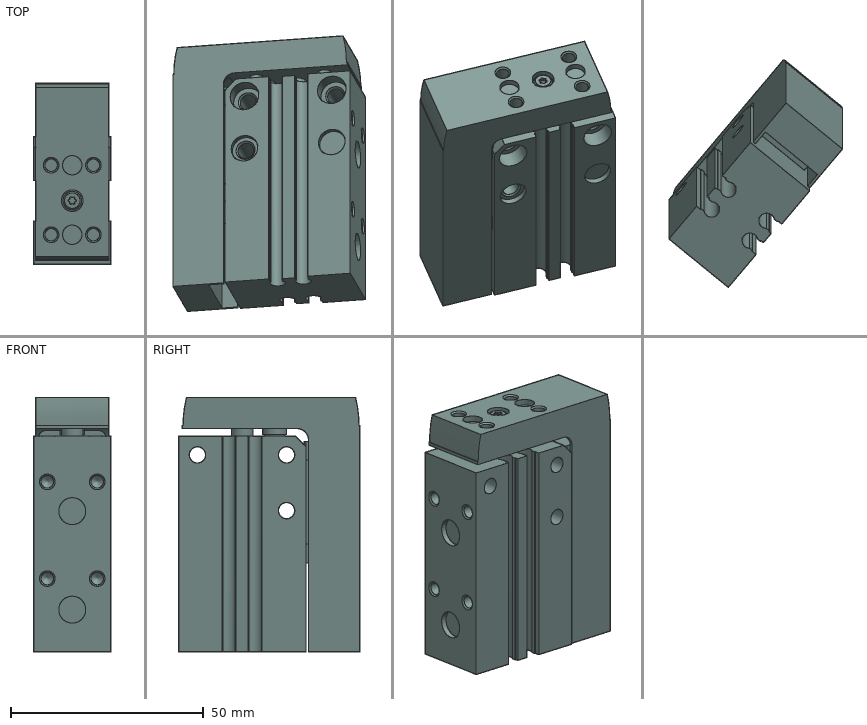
import cadquery as cq
import math


OVERALL_DEPTH = 47.0
OVERALL_HEIGHT = 66.0

HOUSING_WIDTH = 20.0
HOUSING_DEPTH = 33.05
HOUSING_HEIGHT = 56.0
HOUSING_CHAMFER = 2.8
SIDE_X = -HOUSING_WIDTH / 2

SLOT_CENTERS_Y = (19.85, 13.1)
SLOT_MOUTH_WIDTH = 3.6
SLOT_MOUTH_DEPTH = 1.3
SLOT_NECK_WIDTH = 3.2
SLOT_BORE_DIAMETER = 4.0
SLOT_BORE_DEPTH = 3.55
RIB_SETBACK = 0.5

SIDE_HOLE_FRONT_Y = 4.9
SIDE_HOLE_BACK_Y = 28.0
UPPER_HOLE_Z = 51.1
LOWER_HOLE_Z = 36.6
SIDE_HOLE_DIAMETER = 4.15
SIDE_HOLE_RIM_DIAMETER = 5.0
SCREW_SINK_DIAMETER = 7.5
SCREW_SINK_DEPTH = 4.5
LOCATING_DIAMETER = 7.0
LOCATING_DEPTH = 1.5

FRONT_HOLE_X = 6.5
FRONT_HOLE_LEVELS = (19.0, 44.1)
FRONT_RECESS_LEVELS = (10.95, 36.5)
THREAD_DIAMETER = 3.25
THREAD_RIM_DIAMETER = 4.0
THREAD_DEPTH = 6.6
DRILL_TIP_ANGLE = 118.0

GUIDE_WIDTH = 16.4
GUIDE_REACH = 4.0
GUIDE_BOTTOM_Z = 23.05
GUIDE_TOP_Z = 54.6
END_CAP_LENGTH = 4.9
END_CAP_CHAMFER = 0.5
CARRIAGE_INSET = 0.2

SLIDE_WIDTH = 19.0
SLIDE_FRONT_Y = 0.9
PLATE_THICKNESS = 8.1
LEG_INNER_Y = 33.65
INNER_FILLET = 3.0
CROWN_HEIGHT = 7.3
CROWN_STEP = 0.2
CROWN_RADIUS = 30.0
PLATE_BOTTOM_Z = OVERALL_HEIGHT - PLATE_THICKNESS
CROWN_BASE_Z = OVERALL_HEIGHT - CROWN_HEIGHT
GUIDE_BACK_Y = LEG_INNER_Y + GUIDE_REACH
POCKET_WIDTH = 17.55
POCKET_TOP_Z = 57.4
POCKET_CORNER_RADIUS = 2.0

ROD_Y = 16.5
ROD_DIAMETER = 5.6
ROD_SINK_DEPTH = 1.5
SCREW_END_DIAMETER = 4.8
SCREW_END_HEIGHT = 1.0
SCREW_END_CHAMFER = 0.4
SOCKET_DIAMETER = 1.6
SOCKET_LOBE_DIAMETER = 0.5
SOCKET_LOBES = 6
SOCKET_DEPTH = 1.0
BUMPER_Y = 24.9
BUMPER_DIAMETER = 6.3
BUMPER_HEIGHT = 1.5
BUMPER_NECK_DIAMETER = 5.5

TOP_HOLE_X = 5.5
TOP_ROWS_Y = (7.65, 25.7)
TOP_PIN_DIAMETER = 5.0
TOP_PIN_DEPTH = 1.5


def box(x_range, y_range, z_range):
    """Box between the given limits."""
    size = [high - low for low, high in (x_range, y_range, z_range)]
    corner = (x_range[0], y_range[0], z_range[0])
    return cq.Workplane("XY").box(*size, centered=False).translate(corner)


def bar(start, direction, diameter, length):
    """Round bar from a start point along a direction."""
    axis = cq.Vector(*direction)
    return cq.Workplane(obj=cq.Solid.makeCylinder(diameter / 2, length, cq.Vector(*start), axis))


def cone(start, direction, start_diameter, end_diameter, length):
    """Cone or cone frustum from a start point along a direction."""
    axis = cq.Vector(*direction)
    solid = cq.Solid.makeCone(start_diameter / 2, end_diameter / 2, length, cq.Vector(*start), axis)
    return cq.Workplane(obj=solid)


def rim_cutter(start, direction, rim_diameter, hole_diameter):
    """45 degree countersink that opens a hole up to its rim diameter."""
    return cone(start, direction, rim_diameter, hole_diameter, (rim_diameter - hole_diameter) / 2)


def drilled_thread(start, direction):
    """Blind threaded hole with a countersunk rim and a conical drill tip."""
    tip_length = THREAD_DIAMETER / 2 / math.tan(math.radians(DRILL_TIP_ANGLE / 2))
    tip_start = cq.Vector(*start) + cq.Vector(*direction) * THREAD_DEPTH
    cutter = bar(start, direction, THREAD_DIAMETER, THREAD_DEPTH)
    cutter = cutter.union(cone(tip_start.toTuple(), direction, THREAD_DIAMETER, 0, tip_length))
    return cutter.union(rim_cutter(start, direction, THREAD_RIM_DIAMETER, THREAD_DIAMETER))


def housing_block():
    """Plain housing with its upper back edge chamfered."""
    block = box((SIDE_X, -SIDE_X), (0, HOUSING_DEPTH), (0, HOUSING_HEIGHT))
    return block.edges(">Y and >Z").chamfer(HOUSING_CHAMFER)


def sensor_slot(slot_y):
    """Slot cutter on the -X side: wide mouth, narrower neck and round bore along Z."""
    bore_x = SIDE_X + SLOT_BORE_DEPTH
    z_range = (0, HOUSING_HEIGHT)
    mouth_sides = (slot_y - SLOT_MOUTH_WIDTH / 2, slot_y + SLOT_MOUTH_WIDTH / 2)
    neck_sides = (slot_y - SLOT_NECK_WIDTH / 2, slot_y + SLOT_NECK_WIDTH / 2)
    cutter = box((SIDE_X, SIDE_X + SLOT_MOUTH_DEPTH), mouth_sides, z_range)
    cutter = cutter.union(box((SIDE_X, bore_x), neck_sides, z_range))
    return cutter.union(bar((bore_x, slot_y, 0), (0, 0, 1), SLOT_BORE_DIAMETER, HOUSING_HEIGHT))


def cut_sensor_slots(block):
    """Two slots and the set-back rib between them, the same on both X sides."""
    rib_sides = (min(SLOT_CENTERS_Y), max(SLOT_CENTERS_Y))
    cutter = box((SIDE_X, SIDE_X + RIB_SETBACK), rib_sides, (0, HOUSING_HEIGHT))
    for slot_y in SLOT_CENTERS_Y:
        cutter = cutter.union(sensor_slot(slot_y))
    return block.cut(cutter).cut(cutter.mirror("YZ"))


def side_hole(hole_y, hole_z, sink_diameter, sink_depth):
    """Hole through the full width, sunk from the -X side."""
    inward = (1, 0, 0)
    mouth = (SIDE_X, hole_y, hole_z)
    floor = (SIDE_X + sink_depth, hole_y, hole_z)
    cutter = bar(mouth, inward, SIDE_HOLE_DIAMETER, HOUSING_WIDTH)
    cutter = cutter.union(rim_cutter(floor, inward, SIDE_HOLE_RIM_DIAMETER, SIDE_HOLE_DIAMETER))
    return cutter.union(bar(mouth, inward, sink_diameter, sink_depth))


def cut_side_holes(block):
    """Two deep-sunk screw holes, one locating hole and one blind locating recess."""
    for hole_y in (SIDE_HOLE_FRONT_Y, SIDE_HOLE_BACK_Y):
        block = block.cut(side_hole(hole_y, UPPER_HOLE_Z, SCREW_SINK_DIAMETER, SCREW_SINK_DEPTH))
    block = block.cut(side_hole(SIDE_HOLE_BACK_Y, LOWER_HOLE_Z, LOCATING_DIAMETER, LOCATING_DEPTH))
    recess_mouth = (SIDE_X, SIDE_HOLE_FRONT_Y, LOWER_HOLE_Z)
    return block.cut(bar(recess_mouth, (1, 0, 0), LOCATING_DIAMETER, LOCATING_DEPTH))


def cut_front_holes(block):
    """Four threaded holes and two locating recesses in the front face."""
    inward = (0, 1, 0)
    for hole_z in FRONT_HOLE_LEVELS:
        for hole_x in (-FRONT_HOLE_X, FRONT_HOLE_X):
            block = block.cut(drilled_thread((hole_x, 0, hole_z), inward))
    for recess_z in FRONT_RECESS_LEVELS:
        block = block.cut(bar((0, 0, recess_z), inward, LOCATING_DIAMETER, LOCATING_DEPTH))
    return block


def guide_end_cap(bottom_z):
    """Guide end cap with chamfered corners toward the housing."""
    half_width = GUIDE_WIDTH / 2
    cap_front_y = HOUSING_DEPTH - END_CAP_CHAMFER
    z_range = (bottom_z, bottom_z + END_CAP_LENGTH)
    cap = box((-half_width, half_width), (cap_front_y, GUIDE_BACK_Y), z_range)
    return cap.edges("|Z and <Y").chamfer(END_CAP_CHAMFER)


def guide_block():
    """Guide carriage between two slightly wider end caps."""
    half_width = GUIDE_WIDTH / 2 - CARRIAGE_INSET
    upper_cap_z = GUIDE_TOP_Z - END_CAP_LENGTH
    z_range = (GUIDE_BOTTOM_Z + END_CAP_LENGTH, upper_cap_z)
    carriage = box((-half_width, half_width), (HOUSING_DEPTH, GUIDE_BACK_Y), z_range)
    for bottom_z in (GUIDE_BOTTOM_Z, upper_cap_z):
        carriage = carriage.union(guide_end_cap(bottom_z))
    return carriage


def make_housing():
    """Housing body with slots, holes and its guide block."""
    block = cut_sensor_slots(housing_block())
    block = cut_side_holes(block)
    block = cut_front_holes(block)
    return block.union(guide_block())


def slide_profile():
    """L-shaped plate and leg, with both ends of the plate crowned."""
    front_y = SLIDE_FRONT_Y + CROWN_STEP
    back_y = OVERALL_DEPTH - CROWN_STEP

    def crown_inset(height):
        return CROWN_RADIUS - math.sqrt(CROWN_RADIUS**2 - height**2)

    top_inset = crown_inset(CROWN_HEIGHT)
    middle_inset = crown_inset(CROWN_HEIGHT / 2)
    middle_z = CROWN_BASE_Z + CROWN_HEIGHT / 2
    outline = (
        cq.Workplane("YZ", origin=(-SLIDE_WIDTH / 2, 0, 0))
        .moveTo(LEG_INNER_Y, 0)
        .lineTo(OVERALL_DEPTH, 0)
        .lineTo(OVERALL_DEPTH, CROWN_BASE_Z)
        .lineTo(back_y, CROWN_BASE_Z)
        .threePointArc((back_y - middle_inset, middle_z), (back_y - top_inset, OVERALL_HEIGHT))
        .lineTo(front_y + top_inset, OVERALL_HEIGHT)
        .threePointArc((front_y + middle_inset, middle_z), (front_y, CROWN_BASE_Z))
        .lineTo(SLIDE_FRONT_Y, CROWN_BASE_Z)
        .lineTo(SLIDE_FRONT_Y, PLATE_BOTTOM_Z)
        .lineTo(LEG_INNER_Y - INNER_FILLET, PLATE_BOTTOM_Z)
        .radiusArc((LEG_INNER_Y, PLATE_BOTTOM_Z - INNER_FILLET), INNER_FILLET)
        .close()
    )
    return outline.extrude(SLIDE_WIDTH)


def cut_guide_pocket(slide):
    """Pocket for the guide block, open at the bottom and rounded at its upper corners."""
    half_width = POCKET_WIDTH / 2
    pocket_front_y = LEG_INNER_Y - INNER_FILLET
    pocket = box((-half_width, half_width), (pocket_front_y, GUIDE_BACK_Y), (0, POCKET_TOP_Z))
    return slide.cut(pocket.edges("|Y and >Z").fillet(POCKET_CORNER_RADIUS))


def cut_top_holes(slide):
    """Two rows across the plate: a pin recess between two countersunk through holes."""
    downward = (0, 0, -1)
    for row_y in TOP_ROWS_Y:
        for hole_x in (-TOP_HOLE_X, TOP_HOLE_X):
            mouth = (hole_x, row_y, OVERALL_HEIGHT)
            slide = slide.cut(bar(mouth, downward, THREAD_DIAMETER, PLATE_THICKNESS))
            slide = slide.cut(rim_cutter(mouth, downward, THREAD_RIM_DIAMETER, THREAD_DIAMETER))
        slide = slide.cut(bar((0, row_y, OVERALL_HEIGHT), downward, TOP_PIN_DIAMETER, TOP_PIN_DEPTH))
    return slide


def socket_cutter(top_z):
    """Six-lobed driver socket."""
    downward = (0, 0, -1)
    cutter = bar((0, ROD_Y, top_z), downward, SOCKET_DIAMETER, SOCKET_DEPTH)
    for lobe in range(SOCKET_LOBES):
        angle = 2 * math.pi * lobe / SOCKET_LOBES
        lobe_x = SOCKET_DIAMETER / 2 * math.cos(angle)
        lobe_y = ROD_Y + SOCKET_DIAMETER / 2 * math.sin(angle)
        cutter = cutter.union(bar((lobe_x, lobe_y, top_z), downward, SOCKET_LOBE_DIAMETER, SOCKET_DEPTH))
    return cutter


def add_rod(slide):
    """Piston rod below the plate and its chamfered screw end in a recess above."""
    gap = PLATE_BOTTOM_Z - HOUSING_HEIGHT
    slide = slide.union(bar((0, ROD_Y, HOUSING_HEIGHT), (0, 0, 1), ROD_DIAMETER, gap))
    slide = slide.cut(bar((0, ROD_Y, OVERALL_HEIGHT), (0, 0, -1), ROD_DIAMETER, ROD_SINK_DEPTH))
    recess_floor_z = OVERALL_HEIGHT - ROD_SINK_DEPTH
    screw_end = bar((0, ROD_Y, recess_floor_z), (0, 0, 1), SCREW_END_DIAMETER, SCREW_END_HEIGHT)
    slide = slide.union(screw_end.faces(">Z").chamfer(SCREW_END_CHAMFER))
    return slide.cut(socket_cutter(recess_floor_z + SCREW_END_HEIGHT))


def add_bumper(slide):
    """Stop bumper below the plate, ending in a narrower neck on the housing."""
    gap = PLATE_BOTTOM_Z - HOUSING_HEIGHT
    neck = bar((0, BUMPER_Y, HOUSING_HEIGHT), (0, 0, 1), BUMPER_NECK_DIAMETER, gap)
    head = bar((0, BUMPER_Y, PLATE_BOTTOM_Z), (0, 0, -1), BUMPER_DIAMETER, BUMPER_HEIGHT)
    return slide.union(neck).union(head)


def make_slide():
    """Slide body with its pocket, holes, rod and bumper."""
    slide = cut_guide_pocket(slide_profile())
    slide = cut_top_holes(slide)
    slide = add_rod(slide)
    return add_bumper(slide)


housing = make_housing()
slide = make_slide()

result = cq.Compound.makeCompound([housing.val(), slide.val()])